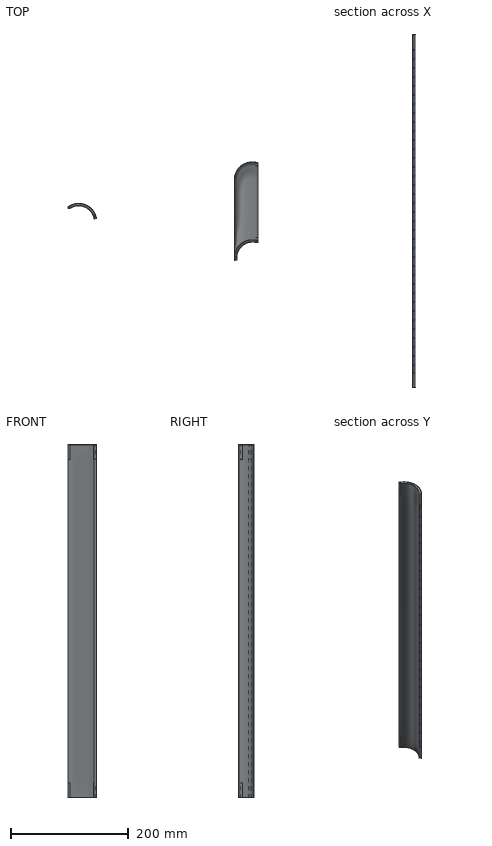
import cadquery as cq
import math

length = 600.0
outer_radius = 30.85
wall = 4.0
round_edge_angle = 124.0
flat_edge_angle = 9.9
hole_diameter = 3.3
hole_depth = 25.0
flat_edge_to_hole = 5.0

inner_radius = outer_radius - wall
middle_radius = outer_radius - wall / 2
middle_angle = (round_edge_angle + flat_edge_angle) / 2
flat_side_hole_angle = flat_edge_angle + math.degrees(flat_edge_to_hole / middle_radius)


def polar(radius, angle):
    """Point in the XY plane at a radius and angle about the shell axis."""
    radians = math.radians(angle)
    return radius * math.cos(radians), radius * math.sin(radians)


def round_edge_tip():
    """Point of the rounded edge furthest along the wall from its centre."""
    centre_x, centre_y = polar(middle_radius, round_edge_angle)
    offset_x, offset_y = polar(wall / 2, round_edge_angle + 90)
    return centre_x + offset_x, centre_y + offset_y


def make_shell():
    """Arc-shaped wall with one flat and one fully rounded long edge, extruded along Z."""
    return (
        cq.Workplane("XY")
        .moveTo(*polar(outer_radius, flat_edge_angle))
        .threePointArc(polar(outer_radius, middle_angle), polar(outer_radius, round_edge_angle))
        .threePointArc(round_edge_tip(), polar(inner_radius, round_edge_angle))
        .threePointArc(polar(inner_radius, middle_angle), polar(inner_radius, flat_edge_angle))
        .close()
        .extrude(length)
    )


def make_end_holes(bottom):
    """Pair of holes along Z, centred in the wall, one near each long edge."""
    centres = [polar(middle_radius, angle) for angle in (round_edge_angle, flat_side_hole_angle)]
    return (
        cq.Workplane("XY", origin=(0, 0, bottom))
        .pushPoints(centres)
        .circle(hole_diameter / 2)
        .extrude(hole_depth)
    )


result = make_shell()
for bottom in (0, length - hole_depth):
    result = result.cut(make_end_holes(bottom))